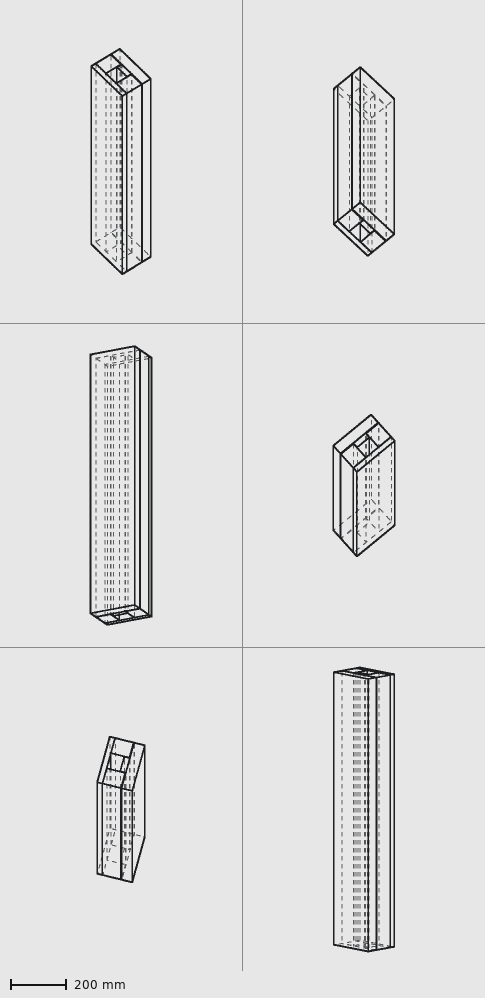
import cadquery as cq

width = 180.0
depth = 131.0
height = 1000.0

front_board_thickness = 20.0
strip_thickness = 2.0
back_board_thickness = 40.0
stud_depth = depth - front_board_thickness - strip_thickness - back_board_thickness

channel_width = 60.0
filler_thickness = 21.0
filler_side_gap = 1.0
filler_width = channel_width - 2 * filler_side_gap
stud_width = (width - channel_width) / 2

stud_y = front_board_thickness
strip_y = stud_y + stud_depth
back_board_y = strip_y + strip_thickness
filler_y = back_board_y - filler_thickness

stud_offset = (channel_width + stud_width) / 2


def board(center_x, front_y, board_width, thickness):
    """Full-height board centred on center_x, with its front face at front_y."""
    return (
        cq.Workplane("XY")
        .box(board_width, thickness, height, centered=(True, False, False))
        .translate((center_x, front_y, 0))
    )


front_board = board(0, 0, width, front_board_thickness)
back_board = board(0, back_board_y, width, back_board_thickness)

studs = []
strips = []
for center_x in (-stud_offset, stud_offset):
    studs.append(board(center_x, stud_y, stud_width, stud_depth))
    strips.append(board(center_x, strip_y, stud_width, strip_thickness))

filler = board(0, filler_y, filler_width, filler_thickness)

result = cq.Compound.makeCompound(
    [
        front_board.val(),
        *[stud.val() for stud in studs],
        *[strip.val() for strip in strips],
        filler.val(),
        back_board.val(),
    ]
)